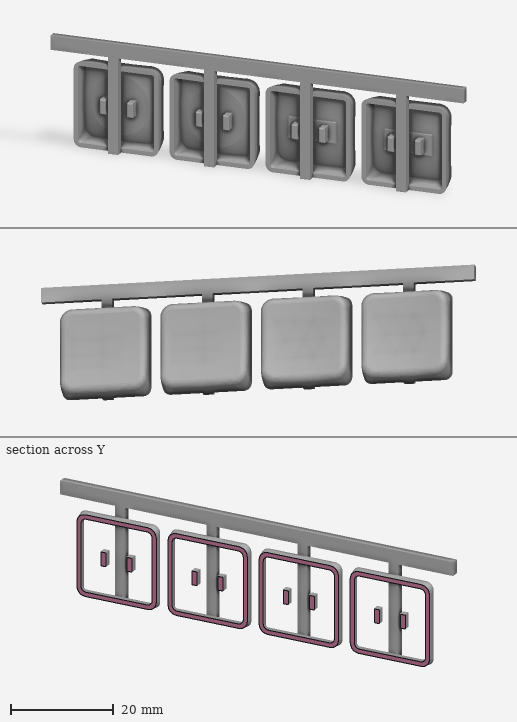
import cadquery as cq
import math

BAR_LENGTH = 86.4
BAR_HEIGHT = 2.9
SPRUE_THICKNESS = 1.55
RUNNER_WIDTH = 2.1
TOTAL_HEIGHT = 22.9

CAP_KINDS = ["round", "round", "wide", "wide"]
CAP_PITCH = 20.0
CAP_SIZE = 17.7
RIM_Y = SPRUE_THICKNESS

WALL_SECTIONS = [
    (0.0, 0.0, 0.0, 1.55),
    (2.0, 0.1, 0.2, 2.1),
    (5.6, 0.6, 0.9, 3.0),
]
BODY_END_Y = RIM_Y + WALL_SECTIONS[-1][0]
TOP_FILLET = 1.1

CAVITY_SIZE = 15.9
CAVITY_CORNER = 0.5
CAVITY_END_LENGTH = 14.7
CAVITY_END_HEIGHT = 14.1
CAVITY_END_CORNER = 2.6

DISH_RADIUS_Z = 36.3
DISH_RADIUS_X = {"round": DISH_RADIUS_Z, "wide": 95.0}
DISH_BOTTOM_Y = {"round": 4.8, "wide": 5.2}

ROOF_THICKNESS = {"round": 1.4, "wide": 1.0}
FLAT_DIAMETER = 12.2
PAD_LENGTH = 10.3
PAD_HEIGHT = 4.7
PAD_Y = 3.9
PAD_DRAFT_ANGLE = 15.0

LEG_SPACING = 5.7
LEG_WIDTH = 1.2
LEG_HEIGHT = 3.0
LEG_TIP_Y = RIM_Y
LEG_CHAMFER = 0.2
ROOT_OVERLAP = 0.9


def depth_plane(y):
    """Plane across the cap axis at depth y, facing +Y."""
    return cq.Plane(origin=(0, y, 0), xDir=(1, 0, 0), normal=(0, 1, 0))


def rounded_rectangle(y, length, height, corner):
    """Wire of a rectangle with rounded corners, centred on the cap axis at depth y."""
    block = cq.Workplane(depth_plane(y)).rect(length, height).extrude(0.9)
    return block.edges("|Y").fillet(corner).faces("<Y").wires().val()


def dish_tool(kind, offset=0.0):
    """Solid whose rear face is the finger dish, moved back by offset."""
    radius_z = DISH_RADIUS_Z + offset
    radius_x = DISH_RADIUS_X[kind] + offset
    bottom_y = DISH_BOTTOM_Y[kind] - offset
    half = CAP_SIZE
    end_y = bottom_y + radius_z - math.sqrt(radius_z**2 - half**2)
    front_y = bottom_y + half
    axis_y = bottom_y + radius_x
    profile = (
        cq.Workplane("YZ")
        .moveTo(end_y, -half)
        .threePointArc((bottom_y, 0), (end_y, half))
        .lineTo(front_y, half)
        .lineTo(front_y, -half)
        .close()
    )
    return profile.revolve(360, (axis_y, 0, 0), (axis_y, 1, 0))


def outer_body(kind):
    """Solid cap with its dish and rounded top edge."""
    wires = [
        rounded_rectangle(RIM_Y + distance, CAP_SIZE - 2 * inset_x, CAP_SIZE - 2 * inset_z, corner)
        for distance, inset_x, inset_z, corner in WALL_SECTIONS
    ]
    body = cq.Workplane(cq.Solid.makeLoft(wires)).cut(dish_tool(kind))
    dish_edge = cq.selectors.BoxSelector(
        (-CAP_SIZE, DISH_BOTTOM_Y[kind], -CAP_SIZE),
        (CAP_SIZE, BODY_END_Y, CAP_SIZE),
    )
    return body.edges(dish_edge).fillet(TOP_FILLET)


def cavity(kind):
    """Space inside the cap, ending at the curved underside of the roof."""
    wires = [
        rounded_rectangle(RIM_Y, CAVITY_SIZE, CAVITY_SIZE, CAVITY_CORNER),
        rounded_rectangle(BODY_END_Y, CAVITY_END_LENGTH, CAVITY_END_HEIGHT, CAVITY_END_CORNER),
    ]
    return cq.Workplane(cq.Solid.makeLoft(wires, True)).cut(dish_tool(kind, ROOF_THICKNESS[kind]))


def roof_flat():
    """Cylinder that trims the bulging underside of the round dish to a flat disc."""
    thickness = ROOF_THICKNESS["round"]
    flat_radius = FLAT_DIAMETER / 2
    underside_radius = DISH_RADIUS_Z + thickness
    bulge = underside_radius - math.sqrt(underside_radius**2 - flat_radius**2)
    flat_y = DISH_BOTTOM_Y["round"] - thickness + bulge
    return cq.Workplane(depth_plane(RIM_Y)).circle(flat_radius).extrude(flat_y - RIM_Y)


def stem_pad():
    """Drafted rectangular pad on the underside of the wide dish."""
    root = cq.Workplane(depth_plane(PAD_Y + ROOT_OVERLAP)).rect(PAD_LENGTH, PAD_HEIGHT)
    return root.extrude(-ROOT_OVERLAP, taper=PAD_DRAFT_ANGLE)


def stem_legs(kind):
    """Pair of legs rooted in the roof, with chamfered tips."""
    root_y = DISH_BOTTOM_Y[kind] - ROOF_THICKNESS[kind] + ROOT_OVERLAP
    legs = (
        cq.Workplane(depth_plane(LEG_TIP_Y))
        .rarray(LEG_SPACING, 0.9, 2, 1)
        .rect(LEG_WIDTH, LEG_HEIGHT)
        .extrude(root_y - LEG_TIP_Y)
    )
    return legs.faces("<Y").chamfer(LEG_CHAMFER)


def keycap(kind):
    """Hollow cap with its stem, centred on the Y axis."""
    cap = outer_body(kind).cut(cavity(kind))
    if kind == "round":
        cap = cap.cut(roof_flat())
    else:
        cap = cap.union(stem_pad())
    return cap.union(stem_legs(kind))


def sprue_strip(length, height):
    """Strip of the sprue standing on Z = 0, with its back on Y = 0."""
    return cq.Workplane("XY").box(length, SPRUE_THICKNESS, height, centered=(True, False, False))


result = sprue_strip(BAR_LENGTH, BAR_HEIGHT).translate((0, 0, TOTAL_HEIGHT - BAR_HEIGHT))
first_cap_x = -CAP_PITCH * (len(CAP_KINDS) - 1) / 2
for index, kind in enumerate(CAP_KINDS):
    cap_x = first_cap_x + index * CAP_PITCH
    runner = sprue_strip(RUNNER_WIDTH, TOTAL_HEIGHT)
    result = result.union(runner.translate((cap_x, 0, 0)))
    result = result.union(keycap(kind).translate((cap_x, 0, CAP_SIZE / 2)))